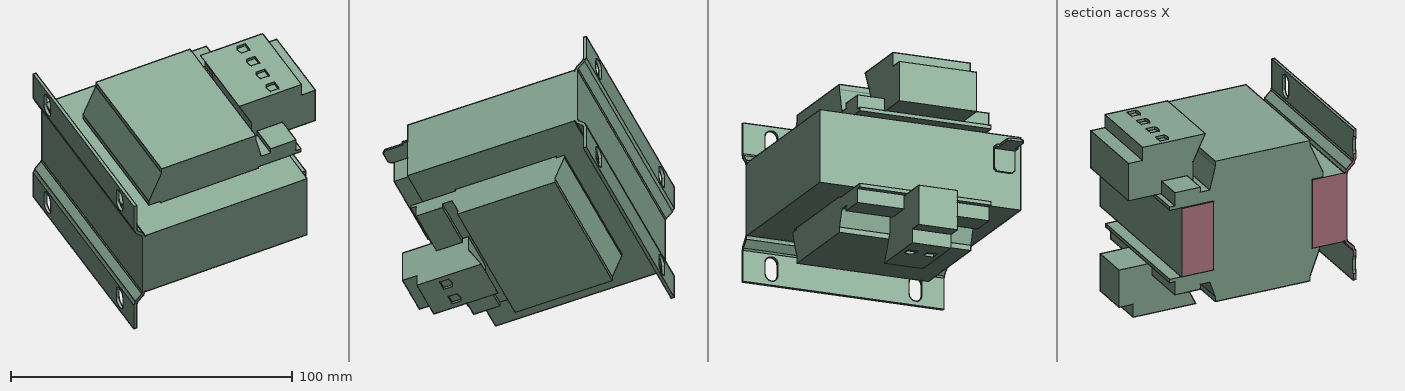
import cadquery as cq
import math


width = 78.0
depth = 85.2
height = 70.5

sheet = 1.2
plate_height = 59.5
flange_offset = 3.5
middle_half_height = 13.3
bend_radius = 1.0
bend_angle = 45.0
slot_width = 5.0
slot_length = 9.0
slot_spacing_x = 55.9
slot_spacing_z = 47.3

core_front = flange_offset + sheet
core_back = 69.4
core_half_height = 13.6
yoke = 12.8
window_front = core_front + yoke
window_back = core_back - yoke
window_width = 52.3

bobbin_width = 50.95
bobbin_back = 74.0
ledge_top = 15.0
rail_back = 72.0
rail_front = 61.85
rail_top = 20.2
groove_floor = 18.2
cover_foot_back = 58.1
cover_back = 55.9
cover_front = 18.15
cover_edge = 2.0
upper_cover_top = 29.1
upper_cover_foot = 13.0
upper_foot_top = 15.6
lower_cover_top = 26.4
lower_cover_foot = 14.5
lower_foot_top = 14.8

block_width = 15.0
block_base = 15.3
block_top = height / 2
block_step_y = 79.6
block_step_z = 30.1
block_tip_y = 54.6
block_front = 59.55
block_slope_start = 25.2
pocket_spacing = 7.5
pocket_width = 3.75
pocket_back = 71.65
pocket_length = 3.9
pocket_bulge = 0.5
pocket_depth = 1.0

tab_thickness = 0.85
tab_x = -32.4
tab_base_width = 8.0
tab_base_back = 72.7
tab_blade_width = 6.3
tab_tip = 80.85
tab_top = 8.8
tab_bottom = -0.4
tab_chamfer = 1.0


def extrude_across(profile, profile_width, centre_x=0.0):
    """Extrude a closed YZ profile along X, centred on centre_x."""
    return profile.extrude(profile_width / 2, both=True).translate((centre_x, 0, 0))


def box_between(size_x, y_range, z_range, centre_x=0.0):
    """Box of width size_x between two Y and two Z positions."""
    return (
        cq.Workplane("XY", origin=(centre_x, sum(y_range) / 2, sum(z_range) / 2))
        .box(size_x, y_range[1] - y_range[0], z_range[1] - z_range[0])
    )


def mirrored_in_z(solid):
    return solid.mirror("XY")


def make_plate():
    """Middle panel and two flanges, joined by a sloped strip with rounded folds."""
    outer_radius = bend_radius + sheet
    sine = math.sin(math.radians(bend_angle))
    drop = 1 - math.cos(math.radians(bend_angle))
    slope_y = flange_offset - (bend_radius + outer_radius) * drop
    slope_z = slope_y / math.tan(math.radians(bend_angle))
    flange_start = middle_half_height + (bend_radius + outer_radius) * sine + slope_z
    flange_end = plate_height / 2
    half = extrude_across(
        cq.Workplane("YZ")
        .moveTo(flange_offset, 0)
        .lineTo(flange_offset, middle_half_height)
        .radiusArc(
            (flange_offset - bend_radius * drop, middle_half_height + bend_radius * sine), bend_radius
        )
        .lineTo(outer_radius * drop, flange_start - outer_radius * sine)
        .radiusArc((0, flange_start), -outer_radius)
        .lineTo(0, flange_end)
        .lineTo(sheet, flange_end)
        .lineTo(sheet, flange_start)
        .radiusArc((sheet + bend_radius * drop, flange_start - bend_radius * sine), bend_radius)
        .lineTo(core_front - outer_radius * drop, middle_half_height + outer_radius * sine)
        .radiusArc((core_front, middle_half_height), -outer_radius)
        .lineTo(core_front, 0)
        .close(),
        width,
    )
    slots = (
        cq.Workplane("XZ")
        .rarray(slot_spacing_x, slot_spacing_z, 2, 2)
        .slot2D(slot_length, slot_width, 90)
        .extrude(-sheet)
    )
    return half.union(mirrored_in_z(half)).cut(slots)


def make_core():
    z_range = (-core_half_height, core_half_height)
    core = box_between(width, (core_front, core_back), z_range)
    window = box_between(window_width, (window_front, window_back), z_range)
    return core.cut(window)


def make_bobbin_side(cover_top, cover_foot, foot_top):
    """Rail and winding cover on the top face of the core."""
    edge_z = cover_top - cover_edge
    points = [
        (bobbin_back, core_half_height),
        (bobbin_back, ledge_top),
        (rail_back, ledge_top),
        (rail_back, rail_top),
        (rail_front, rail_top),
        (rail_front, groove_floor),
        (cover_foot_back, groove_floor),
        (cover_back, edge_z),
        (cover_back, cover_top),
        (cover_front, cover_top),
        (cover_front, edge_z),
        (cover_foot, foot_top),
        (cover_foot, core_half_height),
    ]
    return extrude_across(cq.Workplane("YZ").polyline(points).close(), bobbin_width)


def make_bobbin():
    """Winding through the core window, with a cover above and one below."""
    winding = box_between(
        bobbin_width, (window_front, window_back), (-core_half_height, core_half_height)
    )
    upper = make_bobbin_side(upper_cover_top, upper_cover_foot, upper_foot_top)
    lower = make_bobbin_side(lower_cover_top, lower_cover_foot, lower_foot_top)
    return winding.union(upper).union(mirrored_in_z(lower))


def make_pocket(centre_x):
    """Shallow wire pocket whose front side bows outward."""
    left = centre_x - pocket_width / 2
    right = centre_x + pocket_width / 2
    front = pocket_back - pocket_length
    corner = front + pocket_bulge
    return (
        cq.Workplane("XY", origin=(0, 0, block_top))
        .moveTo(left, pocket_back)
        .lineTo(left, corner)
        .threePointArc((centre_x, front), (right, corner))
        .lineTo(right, pocket_back)
        .close()
        .extrude(-pocket_depth)
    )


def make_terminal_block(centre_x):
    """Terminal block hooked over the top rail, with two wire pockets."""
    points = [
        (depth, block_base),
        (depth, block_step_z),
        (block_step_y, block_step_z),
        (block_step_y, block_top),
        (block_tip_y, block_top),
        (block_front, block_slope_start),
        (block_front, groove_floor),
        (rail_front, groove_floor),
        (rail_front, rail_top),
        (rail_back, rail_top),
        (rail_back, block_base),
    ]
    block = extrude_across(cq.Workplane("YZ").polyline(points).close(), block_width, centre_x)
    for side in (-1, 1):
        block = block.cut(make_pocket(centre_x + side * pocket_spacing / 2))
    return block


def make_earth_tab():
    """Upright leg on the core with a narrower blade standing out from it."""
    blade_z = (tab_top - tab_thickness, tab_top)
    leg = (
        box_between(tab_base_width, (core_back, core_back + tab_thickness), (tab_bottom, tab_top), tab_x)
        .edges("|Y and <Z")
        .chamfer(tab_chamfer)
    )
    base = box_between(tab_base_width, (core_back, tab_base_back), blade_z, tab_x)
    blade = (
        box_between(tab_blade_width, (tab_base_back, tab_tip), blade_z, tab_x)
        .edges("|Z and >Y")
        .chamfer(tab_chamfer)
    )
    return leg.union(base).union(blade)


result = make_plate().union(make_core()).union(make_bobbin()).union(make_earth_tab())
for block_x in (-block_width / 2, block_width / 2):
    result = result.union(make_terminal_block(block_x))
result = result.union(mirrored_in_z(make_terminal_block(0)))